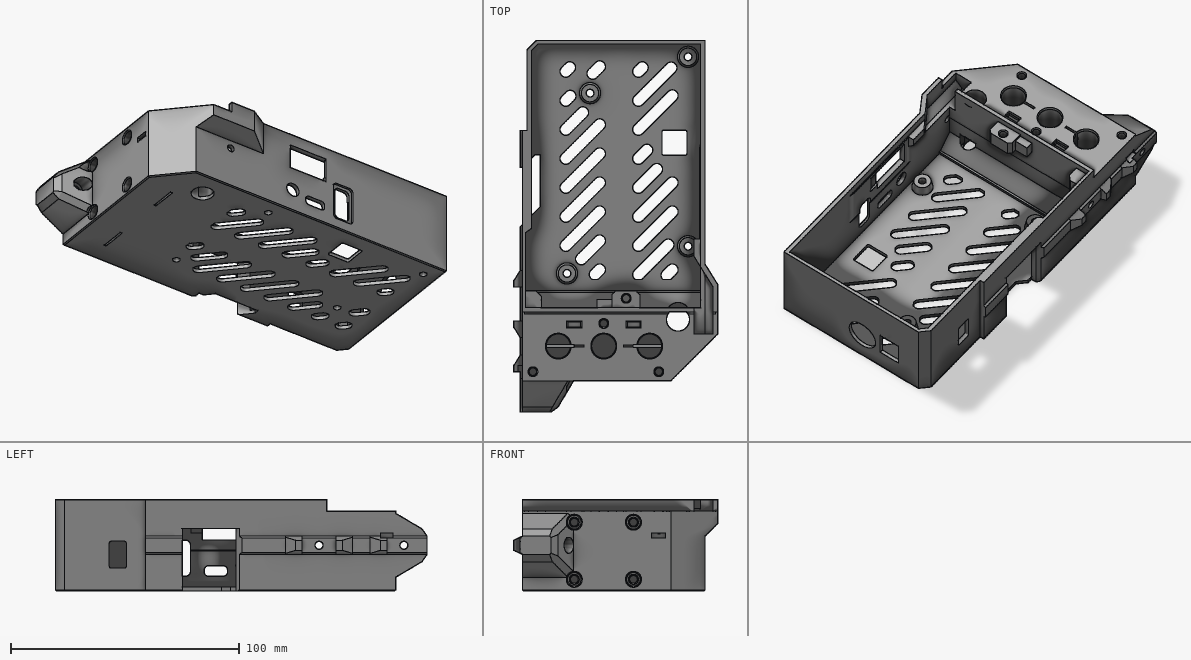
import cadquery as cq
import math


HEIGHT = 40.0
BLOCK_HEIGHT = 35.0
X_LEFT = 1.0
X_REAR_LEFT = 3.0
X_RIGHT = 81.0
Y_BACK = 149.0
X_OUTSIDE = -1.0
Y_STEP = 109.6
Y_RIGHT_FRONT = 15.0
REAR_CORNER = 4.0
BOTTOM_CHAMFER = 0.5

FLOOR = 1.8
WALL = 2.0
BACK_WALL = 1.6
FRONT_WALL = 1.8
THIN_WALL = 1.4
Y_FRONT_WALL = 30.2
Y_CAVITY_FRONT = Y_FRONT_WALL + FRONT_WALL
Y_CAVITY_BACK = Y_BACK - BACK_WALL
X_CAVITY_LEFT = X_REAR_LEFT + WALL
X_CAVITY_RIGHT = X_RIGHT - WALL
X_CAVITY_WIDE = X_LEFT + THIN_WALL
Y_THIN_WALL = 66.7
INNER_CORNER = 2.8

X_BULGE = 86.5
Z_BULGE = 24.0
Y_BULGE_START = 51.0
Y_BULGE_FULL = 42.2
Y_BULGE_FRONT = 20.5
Y_DUCT_FRONT = 20.4
Z_DUCT_FLOOR = 26.8
X_DUCT_LEFT = 76.0

Z_RAIL = 20.0
RAIL_HALF = 4.0
RAIL_FACE_HALF = 3.2
NUB_REACH = 2.8
NUB_TIP_HALF = 2.2
RAIL_SCREW_D = 3.4
RAIL_SCREW_HEAD_D = 7.0

NOSE_LENGTH = 13.75
NOSE_SHOULDER = 11.5

SLOT_WIDTH = 5.0
SLOT_PITCH = 12.7
SLOT_ROW_Y = 33.8
LEFT_COLUMN_X = 20.0
RIGHT_COLUMN_X = 51.8
Y_VENT_FRONT = 44.4
SLOT_RUN = 14.8

WELL_FLOOR = 2.0

STANDOFF_POINTS = [(73.5, 141.8), (30.6, 125.9), (73.5, 58.9), (20.5, 47.0)]
STANDOFF_BASE_D = 9.3
STANDOFF_TOP_D = 7.6
STANDOFF_TOP_Z = 6.0
STANDOFF_HOLE_D = 3.3


def box(x0, x1, y0, y1, z0, z1):
    """Axis-aligned box between two corners."""
    return cq.Workplane("XY").box(x1 - x0, y1 - y0, z1 - z0, centered=False).translate((x0, y0, z0))


def prism(points, z0, z1):
    """Vertical prism over a plan outline."""
    return cq.Workplane("XY").workplane(offset=z0).polyline(points).close().extrude(z1 - z0)


def prism_along_x(points, x0, x1):
    """Prism along X over a (y, z) outline."""
    return cq.Workplane("YZ").workplane(offset=x0).polyline(points).close().extrude(x1 - x0)


def prism_along_y(points, y0, y1):
    """Prism along Y over an (x, z) outline."""
    return cq.Workplane("XZ").workplane(offset=-y1).polyline(points).close().extrude(y1 - y0)


def rod(origin, axis, diameter, length):
    """Cylinder starting at origin and running along axis."""
    solid = cq.Solid.makeCylinder(diameter / 2, length, pnt=cq.Vector(*origin), dir=cq.Vector(*axis))
    return cq.Workplane(obj=solid)


def peg(x, y, diameter, z0, z1):
    """Vertical cylinder."""
    return rod((x, y, z0), (0, 0, 1), diameter, z1 - z0)


def cone(origin, axis, d0, d1, length):
    """Tapered round body starting at origin and running along axis."""
    solid = cq.Solid.makeCone(d0 / 2, d1 / 2, length, pnt=cq.Vector(*origin), dir=cq.Vector(*axis))
    return cq.Workplane(obj=solid)


def rounded_window_x(y0, y1, z0, z1, radius, x0, x1):
    """Cutter along X with rounded corners."""
    return box(x0, x1, y0, y1, z0, z1).edges("|X").fillet(radius)


def make_shell():
    """Outer body, hollowed to an open-topped box behind a solid block."""
    outline = [
        (X_LEFT, 0),
        (X_RIGHT - Y_RIGHT_FRONT, 0),
        (X_RIGHT, Y_RIGHT_FRONT),
        (X_RIGHT, Y_BACK),
        (X_REAR_LEFT + REAR_CORNER, Y_BACK),
        (X_REAR_LEFT, Y_BACK - REAR_CORNER),
        (X_REAR_LEFT, Y_STEP),
        (X_LEFT, Y_STEP),
    ]
    shell = prism(outline, 0, HEIGHT).faces("<Z").chamfer(BOTTOM_CHAMFER)

    bulge_plan = [
        (X_CAVITY_RIGHT, Y_BULGE_START),
        (X_RIGHT, Y_BULGE_START),
        (X_BULGE, Y_BULGE_FULL),
        (X_BULGE, Y_BULGE_FRONT),
        (X_RIGHT, Y_RIGHT_FRONT),
        (X_CAVITY_RIGHT, Y_RIGHT_FRONT),
    ]
    bulge_side = [
        (X_CAVITY_RIGHT, Z_BULGE),
        (X_RIGHT, Z_BULGE),
        (X_BULGE, Z_BULGE + X_BULGE - X_RIGHT),
        (X_BULGE, HEIGHT),
        (X_CAVITY_RIGHT, HEIGHT),
    ]
    bulge = prism(bulge_plan, 0, HEIGHT).intersect(prism_along_y(bulge_side, 0, Y_BACK))
    shell = shell.union(bulge)

    shell = shell.cut(box(0, X_BULGE, 0, Y_FRONT_WALL, BLOCK_HEIGHT, HEIGHT))

    thin_wall_run = 1.8
    cavity = [
        (X_CAVITY_WIDE, Y_CAVITY_FRONT),
        (X_CAVITY_RIGHT, Y_CAVITY_FRONT),
        (X_CAVITY_RIGHT, Y_CAVITY_BACK),
        (X_CAVITY_LEFT + INNER_CORNER, Y_CAVITY_BACK),
        (X_CAVITY_LEFT, Y_CAVITY_BACK - INNER_CORNER),
        (X_CAVITY_LEFT, Y_THIN_WALL),
        (X_CAVITY_WIDE, Y_THIN_WALL - thin_wall_run),
    ]
    return shell.cut(prism(cavity, FLOOR, HEIGHT))


def cut_duct(body):
    """Open channel inside the bulge, running forward into the block."""
    x_inner = X_BULGE - WALL
    slant = (X_BULGE - X_RIGHT) / (Y_BULGE_START - Y_BULGE_FULL)
    inner_corner_shift = 1.2
    y_full = Y_BULGE_FULL - inner_corner_shift
    plan = [
        (X_DUCT_LEFT, Y_DUCT_FRONT),
        (x_inner, Y_DUCT_FRONT),
        (x_inner, y_full),
        (X_DUCT_LEFT, y_full + (x_inner - X_DUCT_LEFT) / slant),
    ]
    section = [
        (X_DUCT_LEFT, Z_DUCT_FLOOR),
        (X_RIGHT, Z_DUCT_FLOOR),
        (x_inner, Z_DUCT_FLOOR + x_inner - X_RIGHT),
        (x_inner, HEIGHT),
        (X_DUCT_LEFT, HEIGHT),
    ]
    return body.cut(prism(plan, 0, HEIGHT).intersect(prism_along_y(section, 0, Y_BACK)))


def make_duct_ledge():
    """Small shelf on the right wall; the duct cut trims its front to the duct slant."""
    top = 36.0
    tip_height = 3.8
    y_back = 62.1
    z_tip = top - tip_height
    section = [
        (X_DUCT_LEFT, top),
        (X_DUCT_LEFT, z_tip),
        (X_CAVITY_RIGHT, z_tip - (X_CAVITY_RIGHT - X_DUCT_LEFT)),
        (X_CAVITY_RIGHT, top),
    ]
    return prism_along_y(section, Y_BULGE_FULL, y_back)


def make_wall_pad():
    """Shallow raised panel on the inner right wall with sloped ends and lower edge."""
    rise = 0.5
    z0, z1 = 17.9, 36.0
    y0, y1 = 60.8, 104.0
    bevel = 2.3
    section = [
        (X_CAVITY_RIGHT, z0 - rise),
        (X_CAVITY_RIGHT - rise, z0),
        (X_CAVITY_RIGHT - rise, z1),
        (X_CAVITY_RIGHT, z1),
    ]
    plan = [
        (X_CAVITY_RIGHT, y0),
        (X_CAVITY_RIGHT - rise, y0 + bevel),
        (X_CAVITY_RIGHT - rise, y1 - bevel),
        (X_CAVITY_RIGHT, y1),
    ]
    return prism_along_y(section, y0, y1).intersect(prism(plan, 0, HEIGHT))


def make_front_ramp():
    """Sloped foot between the cavity floor and the front wall."""
    y_edge = 39.6
    y_land = 38.6
    z_land = 3.0
    section = [
        (Y_CAVITY_FRONT, 0),
        (y_edge, 0),
        (y_edge, z_land),
        (y_land, z_land),
        (Y_CAVITY_FRONT, z_land + y_land - Y_CAVITY_FRONT),
    ]
    return prism_along_x(section, X_CAVITY_WIDE, X_CAVITY_RIGHT)


def make_front_wall_tabs():
    """Corner post, screw tab and small stop behind the front wall."""
    top = 37.0
    depth = 7.2
    y_far = Y_CAVITY_FRONT + depth
    x_post, post_corner = 9.3, 2.2
    post_plan = [
        (X_CAVITY_WIDE, Y_CAVITY_FRONT),
        (x_post, Y_CAVITY_FRONT),
        (x_post, y_far - post_corner),
        (x_post - post_corner, y_far),
        (X_CAVITY_WIDE, y_far),
    ]
    post = prism(post_plan, 0, top)
    x0, x1 = 40.1, 52.4
    corner = 1.5
    tab_plan = [
        (x0, Y_CAVITY_FRONT),
        (x1, Y_CAVITY_FRONT),
        (x1, y_far - corner),
        (x1 - corner, y_far),
        (x0 + corner, y_far),
        (x0, y_far - corner),
    ]
    tab = prism(tab_plan, top - depth, top)
    tab_screw = (46.4, 36.1)
    stop_length, stop_depth, stop_drop = 6.4, 3.6, 1.0
    y_stop = Y_CAVITY_FRONT + stop_depth
    stop = box(x0 - stop_length, x0, Y_CAVITY_FRONT, y_stop, top - depth, top - stop_drop)
    tab = cut_screw_hole(tab, *tab_screw, top)
    return post.union(tab).union(stop)


def cut_screw_hole(body, x, y, z_top):
    """Blind screw hole from above with a chamfered mouth."""
    hole_d, mouth_d, depth = 3.3, 4.3, 10.0
    mouth_depth = (mouth_d - hole_d) / 2
    body = body.cut(peg(x, y, hole_d, z_top - depth, z_top))
    return body.cut(cone((x, y, z_top), (0, 0, -1), mouth_d, hole_d, mouth_depth))


def make_nose():
    """Tapered nose in front of the block."""
    def section(y, half, right, corner):
        outline = [
            (X_LEFT, Z_RAIL - half),
            (right - corner, Z_RAIL - half),
            (right, Z_RAIL - half + corner),
            (right, Z_RAIL + half - corner),
            (right - corner, Z_RAIL + half),
            (X_LEFT, Z_RAIL + half),
        ]
        wire = cq.Workplane("XZ").workplane(offset=-y).polyline(outline).close()
        return wire.val()

    root = section(0, half=14.0, right=23.4, corner=2.5)
    shoulder = section(-NOSE_SHOULDER, half=7.2, right=16.6, corner=2.5)
    tip = section(-NOSE_LENGTH, half=RAIL_HALF, right=13.5, corner=0.6)
    rear = cq.Solid.makeLoft([root, shoulder], True)
    front = cq.Solid.makeLoft([shoulder, tip], True)
    return cq.Workplane(obj=rear).union(cq.Workplane(obj=front))


def add_rail(body):
    """Raised rail with bevelled edges, its nubs and a small pocket above the front nub."""
    section = [
        (X_LEFT, Z_RAIL - RAIL_HALF),
        (0, Z_RAIL - RAIL_FACE_HALF),
        (0, Z_RAIL + RAIL_FACE_HALF),
        (X_LEFT, Z_RAIL + RAIL_HALF),
        (X_LEFT + THIN_WALL, Z_RAIL + RAIL_HALF),
        (X_LEFT + THIN_WALL, Z_RAIL - RAIL_HALF),
    ]
    rail = prism_along_y(section, -NOSE_LENGTH, Y_STEP)

    nub_sides = [(41.0, 43.8, 48.3), (26.2, 23.4, 18.9), (3.9, 6.7, 11.2)]
    nub_section = [
        (X_LEFT, Z_RAIL - RAIL_HALF),
        (-NUB_REACH, Z_RAIL - NUB_TIP_HALF),
        (-NUB_REACH, Z_RAIL + NUB_TIP_HALF),
        (X_LEFT, Z_RAIL + RAIL_HALF),
    ]
    taper = prism_along_y(nub_section, -NOSE_LENGTH, Y_BACK)
    for y_flat, y_tip, y_foot in nub_sides:
        plan = [(X_LEFT, y_flat), (-NUB_REACH, y_flat), (-NUB_REACH, y_tip), (0, y_foot), (X_LEFT, y_foot)]
        rail = rail.union(prism(plan, 0, HEIGHT).intersect(taper))

    pocket_depth = 1.0
    y0, y1, z0, z1 = 1.1, 6.7, 23.1, 25.3
    pocket = box(X_OUTSIDE, X_LEFT + pocket_depth, y0, y1, z0, z1)
    return body.union(rail).cut(pocket)


def cut_left_openings(body):
    """Large slanted window, floor notch and connector hole on the left side."""
    y0, y1, z_top = 68.4, 93.4, 27.3
    front_slant = 1.6
    back_slant = X_CAVITY_LEFT - X_LEFT
    window = [
        (X_OUTSIDE, y0 + X_OUTSIDE - X_LEFT),
        (X_LEFT + front_slant, y0 + front_slant),
        (X_CAVITY_LEFT, y0 + front_slant),
        (X_CAVITY_LEFT, y1 + back_slant),
        (X_LEFT, y1),
        (X_OUTSIDE, y1),
    ]
    body = body.cut(prism(window, 0, z_top))

    x_deep = 8.8
    y_deep_back = 98.9
    notch = [
        (X_OUTSIDE, y0),
        (X_LEFT, y0),
        (x_deep, y0 + x_deep - X_LEFT),
        (x_deep, y_deep_back),
        (X_LEFT + y_deep_back - y1, y_deep_back),
        (X_LEFT, y1),
        (X_OUTSIDE, y1),
    ]
    body = body.cut(prism(notch, 0, FLOOR))
    y0, y1, z0, z1, corner = 117.9, 125.4, 10.0, 21.8, 0.9
    return body.cut(rounded_window_x(y0, y1, z0, z1, corner, 0, X_CAVITY_LEFT))


def cut_right_openings(body):
    """Connector windows through the right wall."""
    x0, x1 = X_CAVITY_RIGHT - WALL, X_RIGHT

    y0, y1, z0, z1 = 65.4, 84.6, 22.4, 34.3
    body = body.cut(box(x0, x1, y0, y1, z0, z1))
    recess_length, recess_depth, recess_z = 5.0, 0.5, 25.3
    body = body.cut(box(x0, X_CAVITY_RIGHT + recess_depth, y1, y1 + recess_length, recess_z, z1))

    y0, y1, z0, z1, corner = 89.9, 97.4, 6.5, 22.2, 2.0
    body = body.cut(rounded_window_x(y0, y1, z0, z1, corner, x0, x1))
    margin, relief_depth = 1.5, 1.0
    x_relief = x1 - relief_depth
    body = body.cut(
        rounded_window_x(y0 - margin, y1 + margin, z0 - margin, z1 + margin, corner, x_relief, x1)
    )

    y0, y1, z0, z1, corner = 73.7, 83.8, 6.5, 11.0, 1.8
    body = body.cut(rounded_window_x(y0, y1, z0, z1, corner, x0, x1))
    hole_y, hole_z, hole_d = 66.8, 11.1, 6.5
    return body.cut(rod((x0, hole_y, hole_z), (1, 0, 0), hole_d, x1 - x0))


def cut_back_openings(body):
    """Cable hole, side slot and lid catches in the back wall."""
    cable_x, cable_z, cable_d = 37.8, 14.5, 14.5
    body = body.cut(rod((cable_x, Y_CAVITY_BACK, cable_z), (0, 1, 0), cable_d, BACK_WALL))
    x0, x1, z0, z1 = 18.0, 28.0, 10.0, 21.6
    body = body.cut(box(x0, x1, Y_CAVITY_BACK, Y_BACK, z0, z1))

    catch_length, catch_height, catch_depth, catch_z = 10.2, 1.8, 0.8, 37.5
    for x in (20.5, 65.0):
        body = body.cut(
            box(
                x - catch_length / 2, x + catch_length / 2,
                Y_CAVITY_BACK, Y_CAVITY_BACK + catch_depth,
                catch_z - catch_height / 2, catch_z + catch_height / 2,
            )
        )
    return body


def cut_floor_openings(body):
    """Diagonal ventilation slots and a square window in the floor."""
    full = (0, SLOT_RUN)
    left_rows = [
        [(12.8, SLOT_RUN)],
        [(6.8, SLOT_RUN)],
        [full],
        [full],
        [full],
        [full],
        [(0, 7.4)],
        [(0, 1.9), (11.8, SLOT_RUN)],
        [(0, 1.7)],
    ]
    right_rows = [
        [(12.4, SLOT_RUN)],
        [(0, 13.0)],
        [full],
        [full],
        [(0, 8.0)],
        [(0, 3.7)],
        [full],
        [(0, 14.3)],
        [(0, 1.7)],
    ]
    vented = box(X_CAVITY_LEFT, X_CAVITY_RIGHT, Y_VENT_FRONT, Y_CAVITY_BACK, 0, FLOOR)
    for column_x, rows in ((LEFT_COLUMN_X, left_rows), (RIGHT_COLUMN_X, right_rows)):
        for row, runs in enumerate(rows):
            row_y = SLOT_ROW_Y + row * SLOT_PITCH
            for start, end in runs:
                middle = (start + end) / 2
                length = (end - start) * math.sqrt(2) + SLOT_WIDTH
                slot = cq.Workplane("XY").center(column_x + middle, row_y + middle)
                body = body.cut(slot.slot2D(length, SLOT_WIDTH, 45).extrude(FLOOR).intersect(vented))

    square_x, square_y, square_side, square_corner = 62.1, 98.75, 10.9, 0.8
    square = box(square_x, square_x + square_side, square_y, square_y + square_side, 0, FLOOR)
    return body.cut(square.edges("|Z").fillet(square_corner))


def add_standoffs(body):
    """Tapered board standoffs with through holes."""
    for x, y in STANDOFF_POINTS:
        height = STANDOFF_TOP_Z - FLOOR
        body = body.union(cone((x, y, FLOOR), (0, 0, 1), STANDOFF_BASE_D, STANDOFF_TOP_D, height))
    for x, y in STANDOFF_POINTS:
        body = body.cut(peg(x, y, STANDOFF_HOLE_D, 0, STANDOFF_TOP_Z))
    return body


def cut_block_top(body):
    """Button wells, slits, screw holes, pockets and cable hole in the block."""
    well_y = 15.2
    well_d, well_mouth_d, mouth_depth = 10.6, 11.3, 1.0
    for x in (16.7, 36.6, 56.7):
        body = body.cut(peg(x, well_y, well_d, WELL_FLOOR, BLOCK_HEIGHT))
        body = body.cut(cone((x, well_y, BLOCK_HEIGHT), (0, 0, -1), well_mouth_d, well_d, mouth_depth))

    slit_half, slit_depth = 0.5, 4.0
    y0, y1 = well_y - slit_half, well_y + slit_half
    for top_range, through_range in (((11.5, 28.0), (11.5, 23.6)), ((45.3, 61.8), (49.5, 61.8))):
        body = body.cut(box(*top_range, y0, y1, BLOCK_HEIGHT - slit_depth, BLOCK_HEIGHT))
        body = body.cut(box(*through_range, y0, y1, 0, BLOCK_HEIGHT))

    for x, y in ((5.6, 4.0), (60.7, 4.0), (36.6, 25.1)):
        body = cut_screw_hole(body, x, y, BLOCK_HEIGHT)

    pocket_length, pocket_width, pocket_depth, pocket_y = 6.6, 3.1, 2.0, 24.7
    pocket_chamfer = 0.5
    for x in (23.7, 49.7):
        pocket = (
            box(
                x - pocket_length / 2, x + pocket_length / 2,
                pocket_y - pocket_width / 2, pocket_y + pocket_width / 2,
                BLOCK_HEIGHT - pocket_depth, BLOCK_HEIGHT,
            )
            .faces("<Z")
            .chamfer(pocket_chamfer)
        )
        body = body.cut(pocket)

    groove_width, groove_depth = 1.0, 1.0
    groove_margin = 1.0
    body = body.cut(
        box(
            X_LEFT + groove_margin, X_BULGE - groove_margin,
            Y_FRONT_WALL - groove_width, Y_FRONT_WALL,
            BLOCK_HEIGHT - groove_depth, BLOCK_HEIGHT,
        )
    )

    cable_x, cable_d = 69.1, 10.0
    cable_y, ramp_bore_y = 26.8, 29.3
    ramp_bore_top = 12.0
    body = body.cut(peg(cable_x, cable_y, cable_d, 0, BLOCK_HEIGHT))
    return body.cut(peg(cable_x, ramp_bore_y, cable_d, FLOOR, ramp_bore_top))


def cut_front_face(body):
    """Four counterbored mounting holes and a small pocket in the front face."""
    head_d, mouth_d, head_depth = 6.0, 7.0, 4.0
    hole_d, hole_mouth_d, hole_depth = 3.4, 4.4, 14.0
    bevel = 0.5
    inward = (0, 1, 0)
    for x in (23.7, 49.6):
        for z in (5.1, 30.1):
            body = body.cut(rod((x, -NOSE_LENGTH, z), inward, mouth_d, NOSE_LENGTH))
            body = body.cut(cone((x, 0, z), inward, mouth_d, head_d, bevel))
            body = body.cut(rod((x, 0, z), inward, head_d, head_depth))
            body = body.cut(cone((x, head_depth, z), inward, hole_mouth_d, hole_d, bevel))
            body = body.cut(rod((x, 0, z), inward, hole_d, hole_depth))
    x0, x1, z0, z1, pocket_depth = 57.6, 63.6, 23.1, 25.3, 2.0
    return body.cut(box(x0, x1, 0, pocket_depth, z0, z1))


def cut_rail_screws(body):
    """Screw holes across the housing on the rail centre line."""
    rear_screw_y, nose_screw_y = 33.6, -3.55
    for y in (rear_screw_y, nose_screw_y):
        body = body.cut(rod((-NUB_REACH, y, Z_RAIL), (1, 0, 0), RAIL_SCREW_D, X_BULGE + NUB_REACH))
    head_x = 16.0
    head = rod((head_x, nose_screw_y, Z_RAIL), (1, 0, 0), RAIL_SCREW_HEAD_D, NOSE_LENGTH)
    return body.cut(head)


result = make_shell()
result = result.union(make_front_ramp()).union(make_front_wall_tabs())
result = cut_duct(result.union(make_duct_ledge())).union(make_wall_pad())
result = add_rail(result.union(make_nose()))
result = add_standoffs(result)
result = cut_floor_openings(result)
result = cut_left_openings(result)
result = cut_right_openings(result)
result = cut_back_openings(result)
result = cut_block_top(result)
result = cut_front_face(result)
result = cut_rail_screws(result)